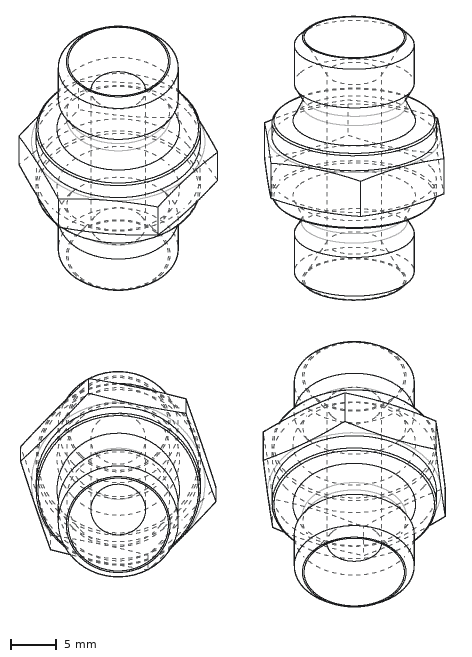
import cadquery as cq
import math


total_length = 29.0
hex_height = 5.0
collar_height = 2.0

hex_across_flats = 19.0
hex_across_corners = hex_across_flats / math.cos(math.radians(30))
hex_bevel_angle = math.radians(15)
hex_bevel_margin = 1.0

collar_radius = 18.0 / 2
collar_chamfer = 0.2

thread_radius = 13.16 / 2
thread_chamfer = 0.9

throat_radius = 5.63
throat_round = 1.2
throat_height = 2.5
thread_side_angle = math.radians(30)
collar_side_angle = math.radians(26)

bore_radius = 6.0 / 2
mouth_radius = 11.0 / 2
cone_half_angle = math.radians(30)

end_z = total_length / 2
hex_top_z = hex_height / 2
collar_top_z = hex_top_z + collar_height
throat_z = collar_top_z + throat_height


def throat_tangent(angle, direction):
    """Radius and height where the throat round meets a cone at this angle from the axis."""
    radius = throat_radius + throat_round * (1 - math.cos(angle))
    height = throat_z + direction * throat_round * math.sin(angle)
    return radius, height


def make_hexagon():
    """Hexagon with two corners on the Y axis, its corners bevelled on both faces."""
    prism = (
        cq.Workplane("XY")
        .polygon(6, hex_across_corners)
        .extrude(hex_height)
        .rotate((0, 0, 0), (0, 0, 1), 30)
        .translate((0, 0, -hex_top_z))
    )
    flat_radius = hex_across_flats / 2
    rim_radius = hex_across_corners / 2 + hex_bevel_margin
    rim_z = hex_top_z - (rim_radius - flat_radius) * math.tan(hex_bevel_angle)
    bevel_envelope = (
        cq.Workplane("XZ")
        .moveTo(0, -hex_top_z)
        .lineTo(flat_radius, -hex_top_z)
        .lineTo(rim_radius, -rim_z)
        .lineTo(rim_radius, rim_z)
        .lineTo(flat_radius, hex_top_z)
        .lineTo(0, hex_top_z)
        .close()
        .revolve(360, (0, 0, 0), (0, 1, 0))
    )
    return prism.intersect(bevel_envelope)


def make_upper_end():
    """Collar, relief groove and threaded end above the mid plane."""
    lower_radius, lower_z = throat_tangent(collar_side_angle, -1)
    upper_radius, upper_z = throat_tangent(thread_side_angle, 1)
    groove_foot_radius = lower_radius + (lower_z - collar_top_z) * math.tan(collar_side_angle)
    thread_start_z = upper_z + (thread_radius - upper_radius) / math.tan(thread_side_angle)
    return (
        cq.Workplane("XZ")
        .moveTo(0, 0)
        .lineTo(collar_radius, 0)
        .lineTo(collar_radius, collar_top_z - collar_chamfer)
        .lineTo(collar_radius - collar_chamfer, collar_top_z)
        .lineTo(groove_foot_radius, collar_top_z)
        .lineTo(lower_radius, lower_z)
        .threePointArc((throat_radius, throat_z), (upper_radius, upper_z))
        .lineTo(thread_radius, thread_start_z)
        .lineTo(thread_radius, end_z - thread_chamfer)
        .lineTo(thread_radius - thread_chamfer, end_z)
        .lineTo(0, end_z)
        .close()
        .revolve(360, (0, 0, 0), (0, 1, 0))
    )


def make_upper_bore():
    """Half of the through bore, opening into the sealing cone at the end face."""
    cone_depth = (mouth_radius - bore_radius) / math.tan(cone_half_angle)
    return (
        cq.Workplane("XZ")
        .moveTo(0, 0)
        .lineTo(bore_radius, 0)
        .lineTo(bore_radius, end_z - cone_depth)
        .lineTo(mouth_radius, end_z)
        .lineTo(0, end_z)
        .close()
        .revolve(360, (0, 0, 0), (0, 1, 0))
    )


def both_ends(upper_half):
    """Join a half body to its mirror image below the mid plane."""
    return upper_half.union(upper_half.mirror("XY"))


result = make_hexagon().union(both_ends(make_upper_end())).cut(both_ends(make_upper_bore()))